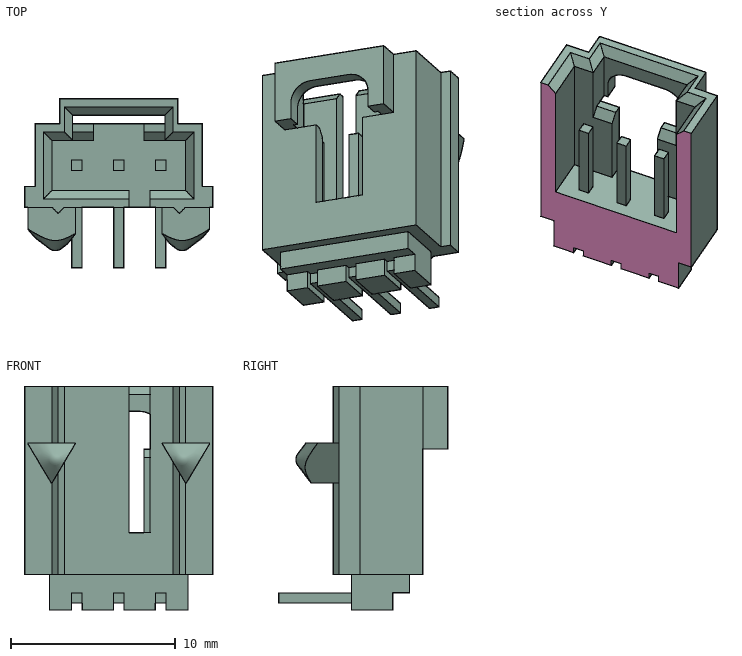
import cadquery as cq
import math


housing_width = 10.16
housing_depth = 5.08
housing_height = 11.43
overall_height = 13.59
overall_depth = 10.29
flange_width = 11.43
flange_depth = 1.27
rim_chamfer = 0.508
overlap = 0.2

wall = 1.016
cavity_width = housing_width - 2 * wall
floor_z = 2.54

hood_width = 7.18
hood_back_y = 6.604
hood_height = 3.81
hood_bottom_z = housing_height - hood_height
hood_inner_width = 5.588
hood_inner_back_y = hood_back_y - wall
window_width = 5.08
window_lintel = 1.524
window_top_z = housing_height - window_lintel
window_corner_radius = 1.27

front_slot_width = 1.27
front_slot_x = 1.27
back_slot_width = 3.048

rib_x = 3.683
rib_width = 0.75
rib_height = 0.375

base_width = 8.43
base_front_y = 0.737
base_step_y = 3.26
base_back_y = 4.28
base_step_z = -1.105
base_bottom_z = housing_height - overall_height

pin_count = 3
pin_pitch = 2.54
pin_size = 0.635
post_y = 2.54
post_top_z = hood_bottom_z
tail_end_y = hood_back_y - overall_depth
tail_z = base_step_z - pin_size / 2

peg_x = 4.08
peg_top_z = 8.0
peg_width = 2.94
peg_height = 2.48
peg_corner_radius = 0.04
point_x = 3.85
point_z = 6.985
point_half_angle = math.radians(53)
point_base_radius = 2.4
nose_radius = 0.58
nose_y = -2.64


def box(x_range, y_range, z_range):
    """Axis-aligned block between the given limits."""
    lengths = [high - low for low, high in (x_range, y_range, z_range)]
    corner = (x_range[0], y_range[0], z_range[0])
    return cq.Workplane("XY").box(*lengths, centered=False).translate(corner)


def centered_box(width, y_range, z_range, center_x=0):
    """Block of the given width centred on center_x."""
    return box((center_x - width / 2, center_x + width / 2), y_range, z_range)


def make_shell():
    """Solid outline of the housing, its front flange and the latch hood."""
    full_height = (0, housing_height)
    hood_z = (hood_bottom_z, housing_height)
    body = centered_box(housing_width, (0, housing_depth), full_height)
    flange = centered_box(flange_width, (0, flange_depth), full_height)
    hood = centered_box(hood_width, (housing_depth - overlap, hood_back_y), hood_z)
    return body.union(flange).union(hood)


def flared_pocket(width, y_range, bottom_z, top_z):
    """Rectangular pocket whose mouth flares outward at 45 degrees up to top_z."""
    center_y = sum(y_range) / 2
    depth = y_range[1] - y_range[0]
    pocket = centered_box(width, y_range, (bottom_z, top_z))
    flare = (
        cq.Workplane("XY", origin=(0, center_y, top_z - rim_chamfer))
        .rect(width, depth)
        .workplane(offset=rim_chamfer)
        .rect(width + 2 * rim_chamfer, depth + 2 * rim_chamfer)
        .loft(ruled=True)
    )
    return pocket.union(flare)


def make_cavity():
    """Mating cavity joined to the space under the latch hood."""
    cavity_y = (wall, housing_depth - wall)
    main = flared_pocket(cavity_width, cavity_y, floor_z, housing_height)
    hood_y = (wall, hood_inner_back_y)
    under_hood = flared_pocket(hood_inner_width, hood_y, hood_bottom_z, housing_height)
    return main.union(under_hood)


def make_sill_chamfer():
    """Bevel along the inner edge of the lowered back wall under the hood."""
    inner_y = housing_depth - wall
    return (
        cq.Workplane("YZ", origin=(-hood_inner_width / 2, 0, 0))
        .moveTo(inner_y, hood_bottom_z - rim_chamfer)
        .lineTo(inner_y + rim_chamfer, hood_bottom_z)
        .lineTo(inner_y, hood_bottom_z)
        .close()
        .extrude(hood_inner_width)
    )


def make_window():
    """Latch window in the back of the hood, open at the bottom, round at the top."""
    window_y = (hood_inner_back_y - overlap, hood_back_y)
    window = centered_box(window_width, window_y, (hood_bottom_z, window_top_z))
    return window.edges("|Y and >Z").fillet(window_corner_radius)


def make_wall_slots():
    """Off-centre slot in the front wall and central slot in the back wall."""
    slot_z = (floor_z, housing_height)
    front = centered_box(front_slot_width, (0, wall), slot_z, front_slot_x)
    back_y = (housing_depth - wall, housing_depth)
    back = centered_box(back_slot_width, back_y, (floor_z, hood_bottom_z))
    return front.union(back)


def make_rib(center_x):
    """Full-height triangular rib on the front face."""
    return (
        cq.Workplane("XY")
        .moveTo(center_x - rib_width / 2, 0)
        .lineTo(center_x, -rib_height)
        .lineTo(center_x + rib_width / 2, 0)
        .close()
        .extrude(housing_height)
    )


def make_peg(side):
    """Triangular peg trimmed by a cone with a spherical nose; side is -1 or +1."""
    prism = (
        cq.Workplane("XZ")
        .moveTo(side * peg_x - peg_width / 2, peg_top_z)
        .lineTo(side * peg_x + peg_width / 2, peg_top_z)
        .lineTo(side * peg_x, peg_top_z - peg_height)
        .close()
        .extrude(-nose_y)
        .edges("|Y")
        .fillet(peg_corner_radius)
    )
    tangent_radius = nose_radius * math.cos(point_half_angle)
    tangent_y = nose_y + nose_radius * (1 - math.sin(point_half_angle))
    mid_angle = (point_half_angle + math.pi / 2) / 2
    mid_radius = nose_radius * math.cos(mid_angle)
    mid_y = nose_y + nose_radius * (1 - math.sin(mid_angle))
    cone_base_y = tangent_y + (point_base_radius - tangent_radius) / math.tan(point_half_angle)
    point = (
        cq.Workplane("XY", origin=(side * point_x, 0, point_z))
        .moveTo(0, nose_y)
        .threePointArc((mid_radius, mid_y), (tangent_radius, tangent_y))
        .lineTo(point_base_radius, cone_base_y)
        .lineTo(point_base_radius, 0)
        .lineTo(0, 0)
        .close()
        .revolve(360, (0, 0, 0), (0, 1, 0))
    )
    return prism.intersect(point)


def pin_positions():
    """X position of each terminal."""
    return [(index - (pin_count - 1) / 2) * pin_pitch for index in range(pin_count)]


def make_base():
    """Stepped terminal base with an open channel for each tail."""
    upper = centered_box(base_width, (base_front_y, base_back_y), (base_step_z, overlap))
    lower_y = (base_front_y, base_step_y)
    lower_z = (base_bottom_z, base_step_z)
    base = upper.union(centered_box(base_width, lower_y, lower_z))
    for x in pin_positions():
        base = base.cut(centered_box(pin_size, lower_y, lower_z, x))
    return base


def make_pin(x):
    """Right-angle terminal: upright post and forward tail."""
    half = pin_size / 2
    tail_bottom_z = tail_z - half
    post = centered_box(pin_size, (post_y - half, post_y + half), (tail_bottom_z, post_top_z), x)
    tail_y = (tail_end_y, post_y + half)
    tail = centered_box(pin_size, tail_y, (tail_bottom_z, tail_z + half), x)
    return post.union(tail)


result = make_shell()
result = result.cut(make_cavity())
result = result.cut(make_sill_chamfer())
result = result.cut(make_window())
result = result.cut(make_wall_slots())
result = result.union(make_base())
for side in (-1, 1):
    result = result.union(make_rib(side * rib_x))
    result = result.union(make_peg(side))
for pin_x in pin_positions():
    result = result.union(make_pin(pin_x))